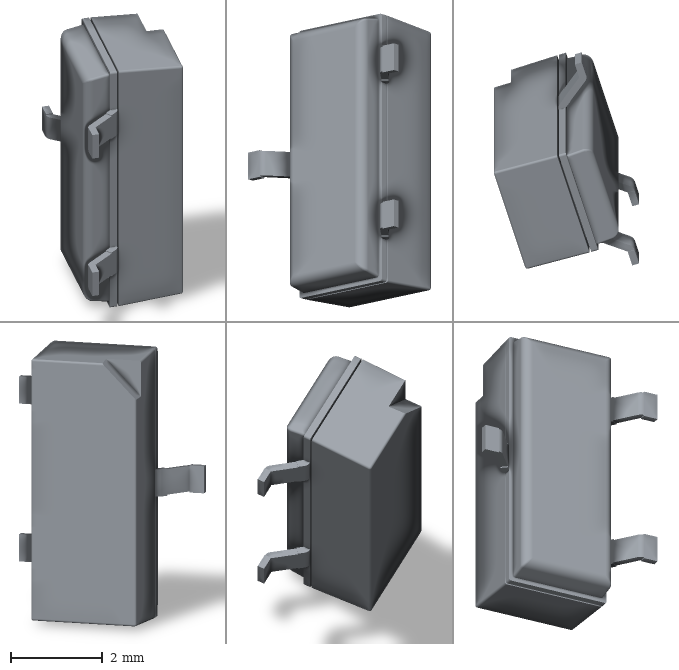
import cadquery as cq
import math

lead_span = 4.2
total_depth = 2.3
package_length = 6.0
package_width = 2.38
edge_radius = 0.05

front_face_y = 0.1
rim_start_y = 0.65
rim_end_y = 0.805
cap_start_y = 0.845

cap_draft = 4.0
notch_leg = 0.865
notch_depth = 0.4

neck_inset_x = 0.3
neck_inset_z = 0.205
neck_width = package_width - 2 * neck_inset_x
neck_length = package_length - 2 * neck_inset_z

front_inset = 0.095
front_width = package_width - 2 * front_inset
front_length = package_length - 2 * front_inset
front_draft = 10.0
front_radius = 0.2

lead_width = 0.6
lead_narrow_width = 0.55
lead_thickness = rim_end_y - rim_start_y
lead_slope = math.radians(52.0)
lead_wide_slope = 0.155
lead_embed = 0.36
lead_pitch = 1.75


def box_between(width, length, y_start, y_end):
    """Box centred on X and Z, spanning two Y levels."""
    return cq.Workplane("XY").box(width, y_end - y_start, length).translate((0, (y_start + y_end) / 2, 0))


def tapered_block(width, length, y_base, y_end, draft):
    """Block with upright X sides; its Z ends lean inward from y_base to y_end."""
    lean = abs(y_end - y_base) * math.tan(math.radians(draft))
    half = length / 2
    return (
        cq.Workplane("YZ")
        .polyline([(y_base, -half), (y_end, lean - half), (y_end, half - lean), (y_base, half)])
        .close()
        .extrude(width / 2, both=True)
    )


def make_cap():
    """Rear cap, rounded on every edge but those facing the neck, with its notch."""
    cap = tapered_block(package_width, package_length, cap_start_y, total_depth, cap_draft)
    return cap.edges("not <Y").fillet(edge_radius).cut(make_notch())


def make_notch():
    """Triangular prism that bevels the rear corner at -X, +Z."""
    corner_x = -package_width / 2
    corner_z = package_length / 2
    return (
        cq.Workplane("XZ", origin=(0, total_depth, 0))
        .polyline([(corner_x, corner_z), (corner_x + notch_leg, corner_z), (corner_x, corner_z - notch_leg)])
        .close()
        .extrude(notch_depth)
    )


def make_rim():
    """Thin plate around the level where the leads come out."""
    rim = box_between(package_width, package_length, rim_start_y, rim_end_y)
    return rim.edges("|Y").fillet(edge_radius)


def make_front_block():
    """Front block with a large round at the front face and small rounds down its corners."""
    block = tapered_block(front_width, front_length, rim_start_y, front_face_y, front_draft)
    block = block.faces("<Y").edges().fillet(front_radius)
    corner_edges = block.edges("not(<Y or >Y or |X or |Z)")
    return corner_edges.fillet(edge_radius)


def along_slope(point, distance):
    """Move a point down the slope of the lead."""
    return (point[0] + distance * math.cos(lead_slope), point[1] - distance * math.sin(lead_slope))


def bend_point(centre, angle, radius):
    """Point of a bend at an angle from +Y toward +X; a negative radius gives the opposite side."""
    return (centre[0] + radius * math.sin(angle), centre[1] + radius * math.cos(angle))


def make_lead():
    """Gull-wing lead reaching toward +X, centred on Z = 0."""
    t = lead_thickness
    upper = (package_width / 2, rim_start_y)
    run = (t + (rim_start_y - t) * math.cos(lead_slope)) / math.sin(lead_slope)
    lower = (upper[0] + run, t)
    step_inner = along_slope(upper, lead_wide_slope)
    step_outer = along_slope(bend_point(upper, lead_slope, t), lead_wide_slope)

    shoulder = (
        cq.Workplane("XY")
        .moveTo(upper[0] - lead_embed, rim_start_y)
        .lineTo(*upper)
        .lineTo(*step_inner)
        .lineTo(*step_outer)
        .lineTo(*bend_point(upper, lead_slope, t))
        .threePointArc(bend_point(upper, lead_slope / 2, t), (upper[0], rim_end_y))
        .lineTo(upper[0] - lead_embed, rim_end_y)
        .close()
        .extrude(lead_width / 2, both=True)
    )
    shank = (
        cq.Workplane("XY")
        .moveTo(*step_inner)
        .lineTo(*bend_point(lower, lead_slope, -t))
        .threePointArc(bend_point(lower, lead_slope / 2, -t), (lower[0], 0))
        .lineTo(*lower)
        .lineTo(*step_outer)
        .close()
        .extrude(lead_narrow_width / 2, both=True)
    )
    foot_length = lead_span / 2 - lower[0]
    foot = cq.Workplane("XY").box(foot_length, t, lead_width).translate((lower[0] + foot_length / 2, t / 2, 0))
    return shoulder.union(shank).union(foot)


lead = make_lead()
neck = box_between(neck_width, neck_length, rim_start_y, cap_start_y)
result = make_cap().union(neck).union(make_rim()).union(make_front_block())
result = result.union(lead.mirror("YZ"))
for side in (-1, 1):
    result = result.union(lead.translate((0, 0, side * lead_pitch)))